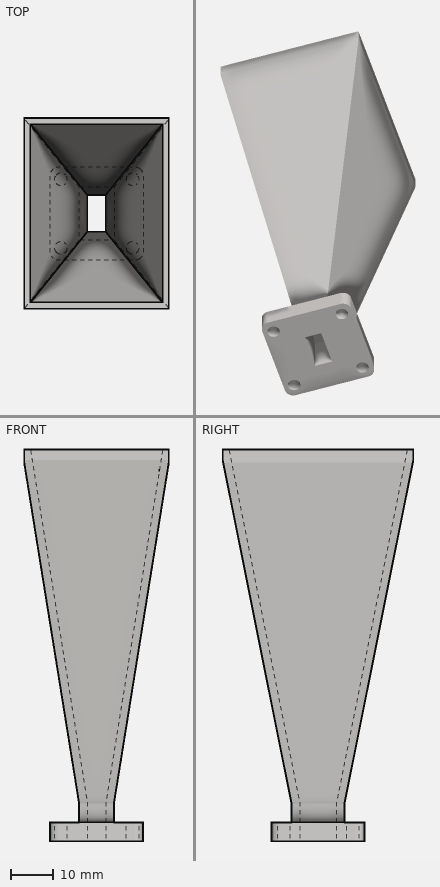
import cadquery as cq

BORE_X = 4.318
BORE_Y = 8.636

FLANGE_SIDE = 22.1
FLANGE_THICKNESS = 4.5
FLANGE_CORNER_RADIUS = 2.0
HOLE_DIAMETER = 3.0
HOLE_SPACING_X = 17.0
HOLE_SPACING_Y = 16.3

NECK_WALL = 2.0
NECK_LENGTH = 4.5
NECK_X = BORE_X + 2 * NECK_WALL
NECK_Y = BORE_Y + 2 * NECK_WALL

TOTAL_HEIGHT = 93.0
MOUTH_X = 34.38
MOUTH_Y = 45.31
RIM_WALL = 1.5
APERTURE_X = MOUTH_X - 2 * RIM_WALL
APERTURE_Y = MOUTH_Y - 2 * RIM_WALL
THROAT_Z = FLANGE_THICKNESS + NECK_LENGTH
HORN_LENGTH = TOTAL_HEIGHT - THROAT_Z


def make_flange():
    return (
        cq.Workplane("XY")
        .rect(FLANGE_SIDE, FLANGE_SIDE)
        .extrude(FLANGE_THICKNESS)
        .edges("|Z")
        .fillet(FLANGE_CORNER_RADIUS)
        .faces(">Z")
        .workplane()
        .rect(HOLE_SPACING_X, HOLE_SPACING_Y, forConstruction=True)
        .vertices()
        .hole(HOLE_DIAMETER)
    )


def make_neck():
    return (
        cq.Workplane("XY")
        .workplane(offset=FLANGE_THICKNESS)
        .rect(NECK_X, NECK_Y)
        .extrude(NECK_LENGTH)
    )


def flare_profile(plane, neck_width, mouth_width, bore_width, aperture_width, depth):
    """Extruded side outline of the horn, sloped parallel to the inner wall up to the upright rim."""
    inner_slope = (aperture_width - bore_width) / HORN_LENGTH
    rim_z = THROAT_Z + (mouth_width - neck_width) / inner_slope
    half_neck = neck_width / 2
    half_mouth = mouth_width / 2
    outline = [
        (-half_neck, THROAT_Z),
        (half_neck, THROAT_Z),
        (half_mouth, rim_z),
        (half_mouth, TOTAL_HEIGHT),
        (-half_mouth, TOTAL_HEIGHT),
        (-half_mouth, rim_z),
    ]
    return cq.Workplane(plane).polyline(outline).close().extrude(depth / 2, both=True)


def make_horn():
    flare_x = flare_profile("XZ", NECK_X, MOUTH_X, BORE_X, APERTURE_X, MOUTH_Y)
    flare_y = flare_profile("YZ", NECK_Y, MOUTH_Y, BORE_Y, APERTURE_Y, MOUTH_X)
    return flare_x.intersect(flare_y)


def make_bore():
    return cq.Workplane("XY").rect(BORE_X, BORE_Y).extrude(THROAT_Z)


def make_horn_cavity():
    return (
        cq.Workplane("XY")
        .workplane(offset=THROAT_Z)
        .rect(BORE_X, BORE_Y)
        .workplane(offset=HORN_LENGTH)
        .rect(APERTURE_X, APERTURE_Y)
        .loft(ruled=True)
    )


body = make_flange().union(make_neck()).union(make_horn())
result = body.cut(make_bore()).cut(make_horn_cavity())